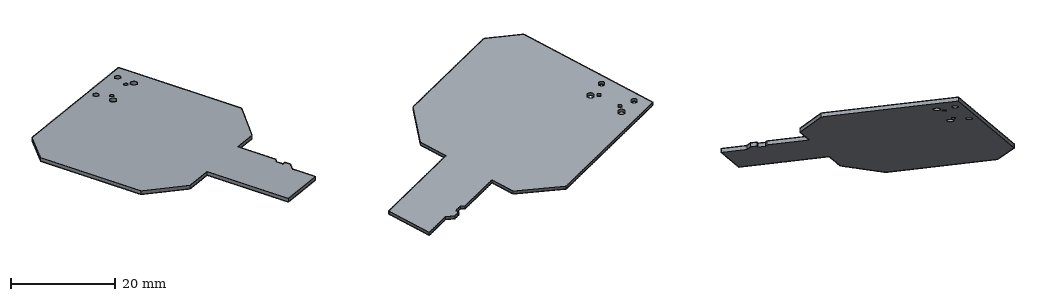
import cadquery as cq

length = 53.65
width = 36.3
thickness = 0.82

tab_length = 18.5
body_length = length - tab_length
lower_left_cut = 5.47
lower_right_cut = 6.8
upper_right_cut_x = 7.1
upper_right_cut_y = 7.38

tab_bottom = 12.85
tab_base_width = 11.0
tab_tip_width = 9.7
tab_top = tab_bottom + tab_base_width
tip_top = tab_bottom + tab_tip_width

step_low_setback = 5.25
step_high_setback = 6.5

notch_depth = 0.7
notch_steep_setback = 7.8
notch_floor_length = 1.45
notch_slope_length = 0.6

hole_axis_y = width - 7.04
hole_pairs = [
    (1.2, 1.82, 7.75),
    (1.4, 5.62, 7.4),
    (0.8, 4.55, 5.0),
]


def make_plate():
    notch_floor_end = length - notch_steep_setback
    notch_floor_start = notch_floor_end - notch_floor_length
    notch_floor_y = tab_top - notch_depth
    outline = [
        (lower_left_cut, 0),
        (body_length - lower_right_cut, 0),
        (body_length, lower_right_cut),
        (body_length, tab_bottom),
        (length, tab_bottom),
        (length, tip_top),
        (length - step_low_setback, tip_top),
        (length - step_high_setback, tab_top),
        (notch_floor_end, tab_top),
        (notch_floor_end, notch_floor_y),
        (notch_floor_start, notch_floor_y),
        (notch_floor_start - notch_slope_length, tab_top),
        (body_length, tab_top),
        (body_length, width - upper_right_cut_y),
        (body_length - upper_right_cut_x, width),
        (0, width),
        (0, lower_left_cut),
    ]
    return cq.Workplane("XY").polyline(outline).close().extrude(thickness)


def make_hole_pair(diameter, x, spacing):
    centers = [(x, hole_axis_y + side * spacing / 2) for side in (-1, 1)]
    return cq.Workplane("XY").pushPoints(centers).circle(diameter / 2).extrude(thickness)


result = make_plate()
for diameter, x, spacing in hole_pairs:
    result = result.cut(make_hole_pair(diameter, x, spacing))